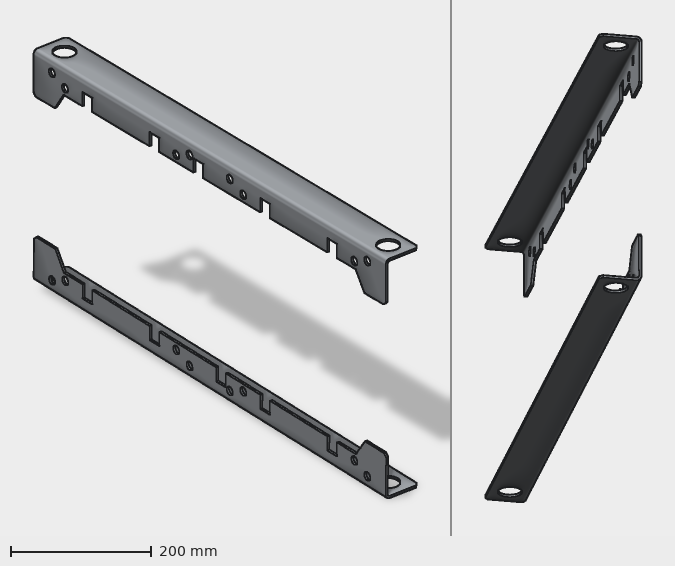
import cadquery as cq
import math

overall_length = 793.0
overall_height = 391.0
tilt_deg = 1.0
tilt = math.radians(tilt_deg)

flange_depth = 61.0
tab_height = 74.5
web_height = 44.5
thickness = 4.0
bend_radius = 8.0
corner_chamfer = 5.0

tab_lean = (tab_height - corner_chamfer) * math.sin(tilt)
rail_length = (overall_length - tab_lean) / math.cos(tilt)
half_length = rail_length / 2

tab_root_x = 328.0
tab_tip_x = 348.0

notch_width = 21.5
notch_top_drop = 21.5
notch_offsets = (124.5, 275.0)
middle_notch_x = -25.0

web_hole_diameter = 13.5
upper_hole_drop = 20.0
lower_hole_drop = 32.5
upper_hole_offsets = (45.0, 354.5)
lower_hole_offsets = (75.0, 325.0)

flange_hole_diameter = 35.0
flange_hole_x = 364.0
flange_hole_y = 31.0


def folded_sheet():
    """Full-length angle: web on Y = 0, outer flange face on Z = 0."""
    outer = (
        cq.Workplane("XY")
        .box(rail_length, flange_depth, tab_height, centered=(True, False, False))
        .translate((0, 0, -tab_height))
        .edges("|X and <Y and >Z")
        .fillet(bend_radius)
    )
    inner = (
        cq.Workplane("XY")
        .box(rail_length, flange_depth, tab_height, centered=(True, False, False))
        .translate((0, thickness, -tab_height - thickness))
        .edges("|X and <Y and >Z")
        .fillet(bend_radius - thickness)
    )
    return outer.cut(inner)


def web_cutter(sketch):
    """Extrude an outline drawn on the outer web face through the sheet."""
    return sketch.extrude(-thickness)


def tab_relief():
    """Area below the web edge, between the two end tabs."""
    outline = (
        cq.Workplane("XZ")
        .moveTo(-tab_root_x, -web_height)
        .lineTo(tab_root_x, -web_height)
        .lineTo(tab_tip_x, -tab_height)
        .lineTo(-tab_tip_x, -tab_height)
        .close()
    )
    return web_cutter(outline)


def notches():
    centres = [side * x for x in notch_offsets for side in (-1, 1)] + [middle_notch_x]
    depth = web_height - notch_top_drop
    middle_z = -(web_height + notch_top_drop) / 2
    outlines = cq.Workplane("XZ").pushPoints([(x, middle_z) for x in centres]).rect(notch_width, depth)
    return web_cutter(outlines)


def web_holes():
    rows = ((upper_hole_offsets, upper_hole_drop), (lower_hole_offsets, lower_hole_drop))
    centres = [(side * x, -drop) for offsets, drop in rows for x in offsets for side in (-1, 1)]
    return web_cutter(cq.Workplane("XZ").pushPoints(centres).circle(web_hole_diameter / 2))


def flange_holes():
    centres = [(side * flange_hole_x, flange_hole_y) for side in (-1, 1)]
    return cq.Workplane("XY").pushPoints(centres).circle(flange_hole_diameter / 2).extrude(-thickness)


def rail():
    """One rail with its flange on top, centred on X = 0."""
    sheet = folded_sheet()
    sheet = sheet.edges("|Y and <Z").chamfer(corner_chamfer)
    sheet = sheet.edges("|Z and >Y").chamfer(corner_chamfer)
    for cutter in (tab_relief(), notches(), web_holes(), flange_holes()):
        sheet = sheet.cut(cutter)
    return sheet


def upper_rail():
    """Level rail, its flange at the top of the envelope and its left end at X = 0."""
    return rail().translate((half_length, 0, overall_height))


def lower_rail():
    """The same rail turned over about Y, then tilted about its lower left corner."""
    turned = rail().rotate((0, 0, 0), (0, 1, 0), 180).translate((half_length, 0, 0))
    tilted = turned.rotate((0, 0, 0), (0, 1, 0), tilt_deg)
    return tilted.translate((0, 0, rail_length * math.sin(tilt)))


result = cq.Compound.makeCompound([upper_rail().val(), lower_rail().val()])